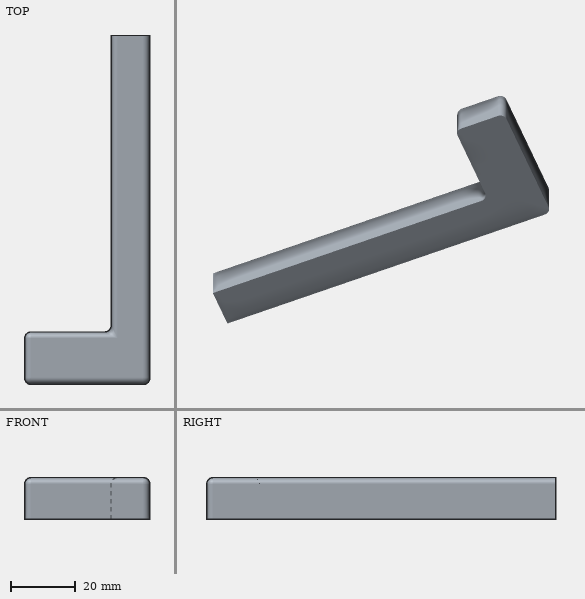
import cadquery as cq

width = 38.8
length = 108.2
height = 13.0
arm_width = 12.0
foot_depth = 16.3
edge_radius = 2.1

right = width / 2
left = -right
back = length / 2
front = -back
arm_left = right - arm_width
foot_back = front + foot_depth

body = (
    cq.Workplane("XY")
    .polyline([
        (left, front),
        (right, front),
        (right, back),
        (arm_left, back),
        (arm_left, foot_back),
        (left, foot_back),
    ])
    .close()
    .extrude(height)
)


def upright_edge(x, y):
    """Select the vertical edge that stands at (x, y)."""
    return cq.selectors.NearestToPointSelector((x, y, height / 2))


for x, y in [(left, front), (right, front), (left, foot_back)]:
    body = body.edges(upright_edge(x, y)).fillet(edge_radius)

body = body.faces(">Z").edges("not >Y").fillet(edge_radius)

body = body.edges(upright_edge(arm_left, foot_back)).fillet(edge_radius)

result = body